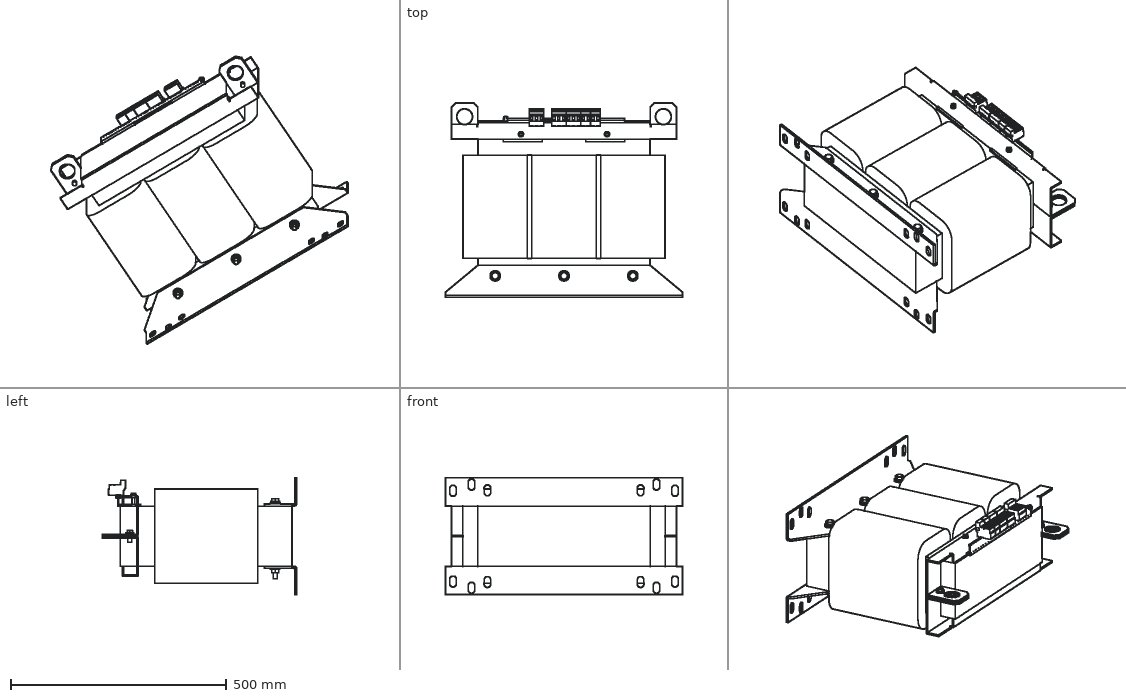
import cadquery as cq
import math


core_width = 400.0
core_depth = 400.0
core_height = 140.0
core_front = 10.5
core_top = core_height / 2
core_rear = core_front + core_depth
yoke_width = 80.0
coil_pitch = 160.0
coil_width = 150.0
coil_height = 220.0
coil_radius = 36.0
coil_length = core_depth - 2 * yoke_width
coil_front = core_front + yoke_width

foot_length = 552.0
foot_sheet = 5.0
foot_depth = 75.0
foot_top = 136.0
foot_end_depth = 12.0
bend_inner_radius = 1.0
foot_bend_radius = foot_sheet + bend_inner_radius
slot_width = 15.0
slot_length = 25.0
foot_slots = [(258.0, 105.5), (215.0, 120.0), (178.0, 106.5)]
foot_bolt_y = 50.0

channel_length = 524.0
channel_sheet = 4.0
channel_front = 368.0
channel_top = 93.5
channel_gap = 2.0
channel_bend_radius = channel_sheet
flange_rear = 402.0
lip_rear = flange_rear + channel_bend_radius
lip_length = core_width
relief_width = 3.0
relief_depth = 5.0
tab_width = 62.0
tab_rear = 452.0
tab_corner = 10.0
tab_hole_diameter = 36.0
tab_hole_y = 420.0
tab_x = (channel_length - tab_width) / 2
tab_bolt_y = 388.0
flange_bolt_x = 100.0
flange_bolt_y = 379.5

carrier_sheet = 2.5
pad_sheet = 4.0
carrier_length = 282.0
carrier_rear = 416.5
carrier_top = 96.0
carrier_lip_depth = 4.5
pad_length = 90.0
pad_front = 362.0
earth_screw_x = -135.0
earth_screw_z = 92.0

pole_pitch = 11.36
terminal_rows = [(-81.0, [3]), (-29.0, [3, 3, 2, 2])]
terminal_top = 120.0
terminal_front = 398.0
terminal_profile = [
    (438.0, 96.0),
    (436.5, 94.8),
    (402.5, 94.8),
    (402.5, 104.5),
    (terminal_front, 111.5),
    (terminal_front, 130.5),
    (409.0, 130.5),
    (410.0, terminal_top),
    (436.0, terminal_top),
    (436.0, 110.0),
    (438.0, 109.0),
]
terminal_wall = 1.5
module_gap = 0.6
module_gap_depth = 1.0
groove_width = 2.5
groove_depth = 1.5
groove_positions = [433.0, 424.0]
clamp_hole_width = 5.0
clamp_hole_length = 7.0
clamp_hole_depth = 4.0
clamp_hole_y = 416.0
wire_hole_size = 6.0
wire_hole_depth = 8.0
wire_hole_z = 113.0


def box(x_range, y_range, z_range):
    """Box given by its two limits along each axis."""
    size = [high - low for low, high in (x_range, y_range, z_range)]
    corner = (x_range[0], y_range[0], z_range[0])
    return cq.Workplane("XY").box(*size, centered=False).translate(corner)


def centered_box(length, y_range, z_range):
    """Box centred on X = 0."""
    return box((-length / 2, length / 2), y_range, z_range)


def disc(diameter, x, y, z_low, z_high):
    """Upright cylinder between two heights."""
    plane = cq.Workplane("XY", origin=(x, y, z_low))
    return plane.circle(diameter / 2).extrude(z_high - z_low)


def hexagon(across_flats, x, y, z_low, z_high):
    """Upright hexagonal prism between two heights."""
    across_corners = across_flats / math.cos(math.pi / 6)
    plane = cq.Workplane("XY", origin=(x, y, z_low))
    return plane.polygon(6, across_corners).extrude(z_high - z_low)


def hex_head(across_flats, x, y, z_low, z_high):
    """Hexagonal bolt head whose top corners are turned off by a 30 degree cone."""
    top_face_ratio = 0.9
    face_radius = top_face_ratio * across_flats / 2
    height = z_high - z_low
    base_radius = face_radius + height / math.tan(math.pi / 6)
    cone = cq.Workplane("XY").add(
        cq.Solid.makeCone(base_radius, face_radius, height, cq.Vector(x, y, z_low))
    )
    return hexagon(across_flats, x, y, z_low, z_high).intersect(cone)


def mirrored_in_z(shape):
    """The shape together with its mirror image below Z = 0."""
    return shape.union(shape.mirror("XY"))


def make_core():
    window_y = (coil_front, coil_front + coil_length)
    window_width = coil_pitch - yoke_width
    core = centered_box(core_width, (core_front, core_rear), (-core_top, core_top))
    for x in (-coil_pitch / 2, coil_pitch / 2):
        x_range = (x - window_width / 2, x + window_width / 2)
        core = core.cut(box(x_range, window_y, (-core_top, core_top)))
    return core


def make_coil(x):
    y_range = (coil_front, coil_front + coil_length)
    block = centered_box(coil_width, y_range, (-coil_height / 2, coil_height / 2))
    return block.edges("|Y").fillet(coil_radius).translate((x, 0, 0))


def make_upper_foot():
    half = foot_length / 2
    flange_top = core_top + foot_sheet
    wall = centered_box(foot_length, (0, foot_sheet), (core_top, foot_top))
    flange_outline = [
        (-half, 0),
        (half, 0),
        (half, foot_end_depth),
        (core_width / 2, foot_depth),
        (-core_width / 2, foot_depth),
        (-half, foot_end_depth),
    ]
    flange = cq.Workplane("XY", origin=(0, 0, core_top)).polyline(flange_outline).close()
    foot = wall.union(flange.extrude(foot_sheet))
    outer_bend = cq.selectors.NearestToPointSelector((0, 0, core_top))
    foot = foot.edges(outer_bend).fillet(foot_bend_radius)
    inner_bend = cq.selectors.NearestToPointSelector((0, foot_sheet, flange_top))
    foot = foot.edges(inner_bend).fillet(bend_inner_radius)
    centres = [(side * x, z) for x, z in foot_slots for side in (-1, 1)]
    slots = cq.Workplane("XZ").pushPoints(centres).slot2D(slot_length, slot_width, 90)
    return foot.cut(slots.extrude(-foot_sheet))


def make_foot_bolt(x):
    shank_diameter = 10.0
    shank_end = -99.5
    across_flats = 17.0
    washer_diameter = 24.0
    washer_thickness = 3.0
    spring_diameter = 20.0
    spring_thickness = 3.0
    head_height = 6.5
    nut_washer_diameter = 22.0
    nut_washer_thickness = 2.0
    nut_height = 8.5

    seat = core_top + foot_sheet
    washer_top = seat + washer_thickness
    spring_top = washer_top + spring_thickness
    head_top = spring_top + head_height
    nut_seat = -seat - nut_washer_thickness
    at = (x, foot_bolt_y)
    bolt = disc(shank_diameter, *at, shank_end, spring_top)
    bolt = bolt.union(disc(washer_diameter, *at, seat, washer_top))
    bolt = bolt.union(disc(spring_diameter, *at, washer_top, spring_top))
    bolt = bolt.union(hex_head(across_flats, *at, spring_top, head_top))
    bolt = bolt.union(disc(nut_washer_diameter, *at, nut_seat, -seat))
    return bolt.union(hexagon(across_flats, *at, nut_seat - nut_height, nut_seat))


def make_upper_channel():
    web_bottom = channel_gap / 2
    tab_top = web_bottom + channel_sheet
    flange_bottom = channel_top - channel_sheet
    web_rear = channel_front + channel_sheet

    web = centered_box(channel_length, (channel_front, web_rear), (web_bottom, channel_top))
    flange = centered_box(channel_length, (channel_front, flange_rear), (flange_bottom, channel_top))
    inner_flange = centered_box(channel_length, (channel_front, flange_rear), (web_bottom, tab_top))
    channel = web.union(flange).union(inner_flange)
    for side in (-1, 1):
        tab_range = (side * tab_x - tab_width / 2, side * tab_x + tab_width / 2)
        channel = channel.union(box(tab_range, (channel_front, tab_rear), (web_bottom, tab_top)))
    for z in (web_bottom, channel_top):
        outer_bend = cq.selectors.BoxSelector(
            (-channel_length, channel_front - 1, z - 1),
            (channel_length, channel_front + 1, z + 1),
        )
        channel = channel.edges(outer_bend).edges("|X").fillet(channel_bend_radius)

    lip_range = (flange_rear - relief_depth, lip_rear)
    lip = centered_box(lip_length, lip_range, (core_top, channel_top))
    lip = lip.cut(centered_box(lip_length, (0, lip_rear - channel_sheet), (0, flange_bottom)))
    channel = channel.union(lip.edges("|X and >Y and >Z").fillet(channel_bend_radius))

    for side in (-1, 1):
        relief_x = side * (lip_length + relief_width) / 2
        relief_range = (relief_x - relief_width / 2, relief_x + relief_width / 2)
        relief_y = (flange_rear - relief_depth, flange_rear)
        channel = channel.cut(box(relief_range, relief_y, (flange_bottom, channel_top)))
        channel = channel.cut(disc(tab_hole_diameter, side * tab_x, tab_hole_y, 0, tab_top))
        rear_corners = cq.selectors.BoxSelector(
            (side * tab_x - tab_width, tab_rear - 1, 0),
            (side * tab_x + tab_width, tab_rear + 1, tab_top),
        )
        channel = channel.edges(rear_corners).edges("|Z").chamfer(tab_corner)
    return channel


def make_tab_bolt(x):
    shank_diameter = 10.0
    shank_end = -14.0
    washer_diameter = 18.5
    washer_thickness = 3.0
    across_flats = 13.0
    head_height = 5.5

    seat = channel_gap / 2 + channel_sheet
    washer_top = seat + washer_thickness
    at = (x, tab_bolt_y)
    bolt = disc(shank_diameter, *at, shank_end, washer_top)
    bolt = bolt.union(disc(washer_diameter, *at, seat, washer_top))
    return bolt.union(hex_head(across_flats, *at, washer_top, washer_top + head_height))


def make_flange_bolt(x):
    shank_diameter = 7.0
    washer_diameter = 12.0
    washer_thickness = 2.5
    head_diameter = 11.0
    head_height = 3.5
    socket_across_flats = 6.0
    socket_depth = 2.5

    washer_top = channel_top + washer_thickness
    head_top = washer_top + head_height
    at = (x, flange_bolt_y)
    bolt = disc(shank_diameter, *at, core_top, channel_top)
    bolt = bolt.union(disc(washer_diameter, *at, channel_top, washer_top))
    bolt = bolt.union(disc(head_diameter, *at, washer_top, head_top))
    return bolt.cut(hexagon(socket_across_flats, *at, head_top - socket_depth, head_top))


def make_earth_screw():
    """Screw through the carrier strip along Y: head at the rear, nut and shank end in front."""
    across_flats = 8.0
    head_height = 3.0
    nut_height = 4.0
    shank_diameter = 5.0
    shank_rear = 421.0
    shank_front = 406.0

    nut_front = carrier_rear - carrier_sheet - nut_height
    screw = disc(shank_diameter, 0, 0, shank_front, shank_rear)
    screw = screw.union(hexagon(across_flats, 0, 0, carrier_rear, carrier_rear + head_height))
    screw = screw.union(hexagon(across_flats, 0, 0, nut_front, nut_front + nut_height))
    lying = screw.rotate((0, 0, 0), (1, 0, 0), -90)
    return lying.translate((earth_screw_x, 0, earth_screw_z))


def make_carrier():
    strip_front = carrier_rear - carrier_sheet
    pad_top = core_top + pad_sheet
    carrier = centered_box(carrier_length, (strip_front, carrier_rear), (core_top, carrier_top))
    lip_y = (carrier_rear - carrier_lip_depth, carrier_rear)
    lip_z = (carrier_top - carrier_sheet, carrier_top)
    carrier = carrier.union(centered_box(carrier_length, lip_y, lip_z))
    for side in (-1, 1):
        pad_x = side * (carrier_length - pad_length) / 2
        pad_range = (pad_x - pad_length / 2, pad_x + pad_length / 2)
        carrier = carrier.union(box(pad_range, (pad_front, carrier_rear), (core_top, pad_top)))
    return carrier


def terminal_outline(x):
    return cq.Workplane("YZ", origin=(x, 0, 0)).polyline(terminal_profile).close()


def make_terminal_row(left, modules):
    pole_count = sum(modules)
    length = pole_count * pole_pitch
    row = terminal_outline(left).extrude(length)

    inner_range = (left + terminal_wall, left + length - terminal_wall)
    for y in groove_positions:
        groove_y = (y - groove_width / 2, y + groove_width / 2)
        groove_z = (terminal_top - groove_depth, terminal_top)
        row = row.cut(box(inner_range, groove_y, groove_z))

    for pole in range(pole_count):
        x = left + (pole + 0.5) * pole_pitch
        hole_x = (x - clamp_hole_width / 2, x + clamp_hole_width / 2)
        hole_y = (clamp_hole_y - clamp_hole_length / 2, clamp_hole_y + clamp_hole_length / 2)
        row = row.cut(box(hole_x, hole_y, (terminal_top - clamp_hole_depth, terminal_top)))

        wire_x = (x - wire_hole_size / 2, x + wire_hole_size / 2)
        wire_y = (terminal_front, terminal_front + wire_hole_depth)
        wire_z = (wire_hole_z - wire_hole_size / 2, wire_hole_z + wire_hole_size / 2)
        row = row.cut(box(wire_x, wire_y, wire_z))

    for index in range(1, len(modules)):
        seam_x = left + sum(modules[:index]) * pole_pitch - module_gap / 2
        slice_of_row = terminal_outline(seam_x).extrude(module_gap)
        kept = terminal_outline(seam_x).offset2D(-module_gap_depth).extrude(module_gap)
        row = row.cut(slice_of_row.cut(kept))
    return row


parts = [make_coil(step * coil_pitch) for step in (-1, 0, 1)]
parts.append(mirrored_in_z(make_upper_foot()))
parts.append(mirrored_in_z(make_upper_channel()))
parts.append(make_carrier())
parts.append(make_earth_screw())
parts += [make_foot_bolt(step * coil_pitch) for step in (-1, 0, 1)]
parts += [make_tab_bolt(side * tab_x) for side in (-1, 1)]
parts += [make_flange_bolt(side * flange_bolt_x) for side in (-1, 1)]
parts += [make_terminal_row(left, modules) for left, modules in terminal_rows]

result = make_core()
for part in parts:
    result = result.union(part)